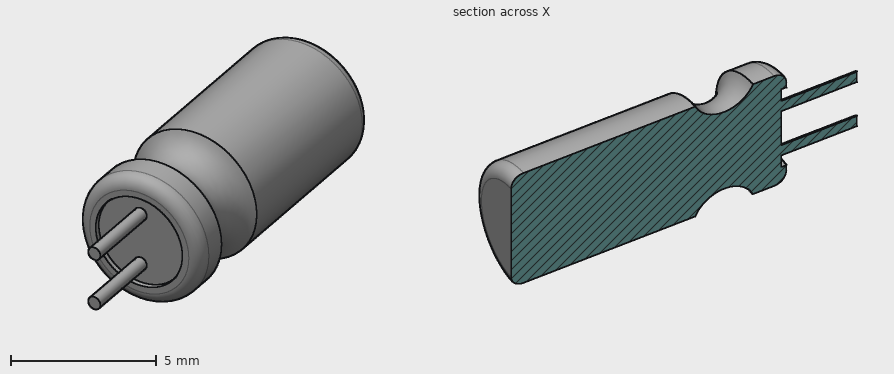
import cadquery as cq
import math


can_radius = 2.5
can_length = 11.0
edge_radius = 0.5

neck_radius = 1.75
groove_arc_radius = 1.25
groove_center_y = 2.49
groove_depth = can_radius - neck_radius
groove_half_width = math.sqrt(groove_arc_radius**2 - (groove_arc_radius - groove_depth)**2)

recess_radius = 1.75
recess_depth = 0.2

lead_radius = 0.25
lead_spacing = 2.0
lead_offset_x = -0.06
lead_protrusion = 2.82


def make_can():
    """Solid of revolution about Y: cylinder with a crimp groove and rounded ends."""
    profile = (
        cq.Workplane("XY")
        .lineTo(can_radius, 0)
        .lineTo(can_radius, groove_center_y - groove_half_width)
        .threePointArc(
            (neck_radius, groove_center_y),
            (can_radius, groove_center_y + groove_half_width),
        )
        .lineTo(can_radius, can_length)
        .lineTo(0, can_length)
        .close()
    )
    can = profile.revolve(360, (0, 0, 0), (0, 1, 0))
    return can.faces("<Y or >Y").edges().fillet(edge_radius)


def cylinder_along_y(radius, start_y, end_y, x=0, z=0):
    """Cylinder parallel to Y, from start_y to end_y."""
    base = cq.Vector(x, start_y, z)
    return cq.Workplane(cq.Solid.makeCylinder(radius, end_y - start_y, base, cq.Vector(0, 1, 0)))


result = make_can().cut(cylinder_along_y(recess_radius, 0, recess_depth))

for side in (-1, 1):
    lead = cylinder_along_y(
        lead_radius, -lead_protrusion, recess_depth, lead_offset_x, side * lead_spacing / 2
    )
    result = result.union(lead)